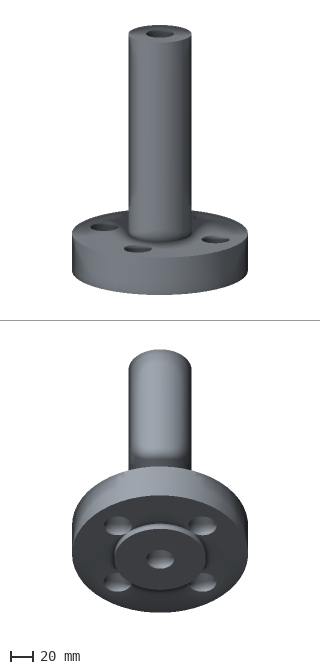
import cadquery as cq

total_height = 228.6
bore_diameter = 25.4

face_diameter = 82.5
face_height = 6.35

flange_diameter = 158.75
flange_thickness = 35.05

neck_diameter = 57.15
neck_height = total_height - face_height - flange_thickness

bolt_hole_count = 4
bolt_hole_diameter = 25.4
bolt_circle_diameter = 107.95


def disc(diameter, height, base_z):
    """Solid cylinder on the Z axis, rising from base_z."""
    return cq.Workplane("XY").workplane(offset=base_z).circle(diameter / 2).extrude(height)


def make_body():
    """Raised face, flange and neck stacked on one axis."""
    flange_top = face_height + flange_thickness
    raised_face = disc(face_diameter, face_height, 0)
    flange = disc(flange_diameter, flange_thickness, face_height)
    neck = disc(neck_diameter, neck_height, flange_top)
    return raised_face.union(flange).union(neck)


def make_bolt_holes():
    """Cutters for the bolt holes, through the full flange thickness."""
    return (
        cq.Workplane("XY")
        .workplane(offset=face_height)
        .polarArray(bolt_circle_diameter / 2, 0, 360, bolt_hole_count)
        .circle(bolt_hole_diameter / 2)
        .extrude(flange_thickness)
    )


bore = disc(bore_diameter, total_height, 0)
result = make_body().cut(make_bolt_holes()).cut(bore)